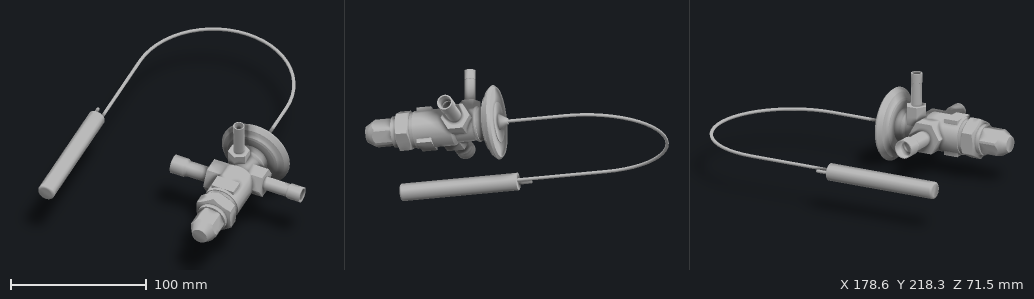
import cadquery as cq
import math


hex_ratio = math.cos(math.radians(30))

joint_overlap = 1.0

neck_dia = 25.0
ring_dia = 26.4
upper_body_dia = 24.0
lower_body_dia = 28.0
relief_dia = 26.4
collar_dia = 23.0
head_bottom_y = 24.0
ring_top_y = 18.2
ring_bottom_y = 16.8
ring_taper_y = 15.2
shoulder_top_y = 1.3
shoulder_bottom_y = -1.0
body_bottom_y = -30.0
nut_top_y = -32.5
nut_bottom_y = -43.8
collar_bottom_y = -47.0

head_dia = 55.0
head_top_y = 33.2
head_raised_dia = 30.0
rim_top_dia = 52.0
rim_top_y = 32.7
rim_upper_y = 31.0
rim_lower_y = 30.4
rim_back_dia = 53.4
rim_back_y = 29.5
head_step_dia = 49.2
head_step_y = 27.2
cone_mid_dia = 44.0
cone_mid_y = 26.1
cone_end_dia = 40.4
cone_end_y = 24.5
head_flat_dia = 37.0
boss_base_dia = 12.0
boss_shoulder_dia = 6.8
boss_tip_dia = 4.6
boss_shoulder_y = 37.4
boss_tip_y = 39.8

nut_flats = 27.3
nut_turn = -2.0
nut_face_dia = 23.6
nut_chamfer_angle = 22.0
cap_dia = 21.0
cap_flats = 19.0
cap_turn = 8.5
cap_tip_dia = 12.0
cap_cone_y = -60.0
cap_tip_y = -67.4

pad_width = 18.0
pad_top_y = -16.4
pad_bottom_y = -27.5

hex_reach = 20.0
port_reach = 50.0
inlet_y = -5.2
inlet_flats = 22.5
inlet_tube_dia = 11.6
inlet_tube_bore = 10.0
inlet_socket_dia = 14.0
inlet_socket_bore = 12.7
inlet_socket_length = 10.2
inlet_taper = 2.4
outlet_y = 4.7
outlet_flats = 19.0
outlet_tube_dia = 10.0
outlet_tube_bore = 8.0
outlet_socket_dia = 11.6
outlet_socket_bore = 9.6
outlet_socket_length = 10.0
outlet_taper = 1.2

equalizer_x = -4.0
equalizer_y = 9.8
equalizer_flats = 14.0
equalizer_hex_z = 19.0
equalizer_reach = 44.0
equalizer_tube_dia = 8.0
equalizer_tube_bore = 6.4
equalizer_socket_dia = 8.4
equalizer_socket_bore = 6.8
equalizer_socket_length = 7.3
equalizer_taper = 0.2

capillary_dia = 2.5
bulb_dia = 13.0
bulb_outer_x = -128.55
bulb_x = bulb_outer_x + bulb_dia / 2
bulb_end_radius = 1.8
bulb_top_y = 15.3
bulb_bottom_y = -73.88
stem_offset = 3.1
stub_top_y = 25.3
stub_tip_radius = 1.1
capillary_bulb_x = bulb_x + stem_offset
loop_radius = -capillary_bulb_x / 2
overall_length = 218.28
loop_top_y = bulb_bottom_y + overall_length
loop_start_y = loop_top_y - capillary_dia / 2 - loop_radius


def y_cylinder(diameter, y_start, y_end, x):
    """Cylinder along Y between two stations, centred at the given X."""
    plane = cq.Plane((x, y_start, 0), xDir=(1, 0, 0), normal=(0, 1, 0))
    return cq.Workplane(plane).circle(diameter / 2).extrude(y_end - y_start)


def turned(profile):
    """Solid turned about Y from (radius, y) points that start and end on the axis."""
    return cq.Workplane("XY").polyline(profile).close().revolve(360, (0, 0, 0), (0, 1, 0))


def hex_prism(plane, flats, length):
    """Hexagonal prism with two corners on the local X axis of the plane."""
    corner_dia = flats / hex_ratio
    return cq.Workplane(plane).polygon(6, corner_dia).extrude(length)


def make_body():
    """Turned neck, ring, stepped body, relief and collar."""
    return turned([
        (0, head_bottom_y + joint_overlap),
        (neck_dia / 2, head_bottom_y + joint_overlap),
        (neck_dia / 2, ring_top_y),
        (ring_dia / 2, ring_top_y),
        (ring_dia / 2, ring_bottom_y),
        (upper_body_dia / 2, ring_taper_y),
        (upper_body_dia / 2, shoulder_top_y),
        (lower_body_dia / 2, shoulder_bottom_y),
        (lower_body_dia / 2, body_bottom_y),
        (relief_dia / 2, body_bottom_y),
        (relief_dia / 2, nut_top_y),
        (collar_dia / 2, nut_top_y),
        (collar_dia / 2, collar_bottom_y),
        (0, collar_bottom_y),
    ])


def make_head():
    """Diaphragm capsule: stepped rim, then a slightly dished cone down to a flat underside."""
    profile = (
        cq.Workplane("XY")
        .moveTo(0, boss_tip_y)
        .lineTo(boss_tip_dia / 2, boss_tip_y)
        .lineTo(boss_shoulder_dia / 2, boss_shoulder_y)
        .lineTo(boss_base_dia / 2, head_top_y)
        .lineTo(head_raised_dia / 2, head_top_y)
        .lineTo(head_raised_dia / 2, rim_top_y)
        .lineTo(rim_top_dia / 2, rim_top_y)
        .lineTo(head_dia / 2, rim_upper_y)
        .lineTo(head_dia / 2, rim_lower_y)
        .lineTo(rim_back_dia / 2, rim_back_y)
        .lineTo(head_step_dia / 2, head_step_y)
        .threePointArc((cone_mid_dia / 2, cone_mid_y), (cone_end_dia / 2, cone_end_y))
        .lineTo(head_flat_dia / 2, head_bottom_y)
        .lineTo(0, head_bottom_y)
        .close()
    )
    return profile.revolve(360, (0, 0, 0), (0, 1, 0))


def make_nut():
    """Hexagon nut chamfered at both ends."""
    plane = cq.Plane((0, nut_bottom_y, 0), xDir=(0, 0, 1), normal=(0, 1, 0))
    prism = hex_prism(plane, nut_flats, nut_top_y - nut_bottom_y)
    face_radius = nut_face_dia / 2
    corner_radius = nut_flats / 2 / hex_ratio
    drop = (corner_radius - face_radius) * math.tan(math.radians(nut_chamfer_angle))
    envelope = turned([
        (0, nut_top_y),
        (face_radius, nut_top_y),
        (corner_radius, nut_top_y - drop),
        (corner_radius, nut_bottom_y + drop),
        (face_radius, nut_bottom_y),
        (0, nut_bottom_y),
    ])
    return envelope.intersect(prism.rotate((0, 0, 0), (0, 1, 0), nut_turn))


def make_cap():
    """Sealing cap: round with six flats and a conical tip."""
    envelope = turned([
        (0, collar_bottom_y),
        (cap_dia / 2, collar_bottom_y),
        (cap_dia / 2, cap_cone_y),
        (cap_tip_dia / 2, cap_tip_y),
        (0, cap_tip_y),
    ])
    plane = cq.Plane((0, cap_tip_y, 0), xDir=(1, 0, 0), normal=(0, 1, 0))
    prism = hex_prism(plane, cap_flats, collar_bottom_y - cap_tip_y)
    return envelope.intersect(prism.rotate((0, 0, 0), (0, 1, 0), cap_turn))


def make_pads():
    """Block through the body that leaves a flat label pad on its +Z and -Z sides."""
    block = cq.Workplane("XY").box(pad_width, pad_top_y - pad_bottom_y, lower_body_dia)
    return block.translate((0, (pad_top_y + pad_bottom_y) / 2, 0))


def stepped_round(plane, stations):
    """Solid turned about the local Y axis of a plane through (diameter, distance) stations."""
    outline = [(0, stations[0][1])]
    outline += [(diameter / 2, distance) for diameter, distance in stations]
    outline += [(0, stations[-1][1])]
    return cq.Workplane(plane).polyline(outline).close().revolve(360, (0, 0, 0), (0, 1, 0))


def tube(plane, reach, tube_dia, socket_dia, socket_length, taper):
    """Outside of a solder tube with a widened socket at its far end."""
    socket_start = reach - socket_length
    return stepped_round(plane, [
        (tube_dia, 0),
        (tube_dia, socket_start - taper),
        (socket_dia, socket_start),
        (socket_dia, reach),
    ])


inlet_plane = cq.Plane((0, inlet_y, 0), xDir=(0, 1, 0), normal=(0, 0, 1))
outlet_plane = cq.Plane((0, outlet_y, 0), xDir=(0, -1, 0), normal=(0, 0, 1))
equalizer_plane = cq.Plane((equalizer_x, equalizer_y, 0), xDir=(1, 0, 0), normal=(0, -1, 0))


def make_connections():
    """Hexagons and outer tubes of the three connections."""
    inlet_hex = hex_prism(
        cq.Plane((0, inlet_y, 0), xDir=(0, 1, 0), normal=(-1, 0, 0)), inlet_flats, hex_reach)
    outlet_hex = hex_prism(
        cq.Plane((0, outlet_y, 0), xDir=(0, 1, 0), normal=(1, 0, 0)), outlet_flats, hex_reach)
    equalizer_hex = hex_prism(
        cq.Plane((equalizer_x, equalizer_y, 0), xDir=(0, 1, 0), normal=(0, 0, 1)),
        equalizer_flats, equalizer_hex_z)
    inlet_tube = tube(inlet_plane, port_reach, inlet_tube_dia,
                      inlet_socket_dia, inlet_socket_length, inlet_taper)
    outlet_tube = tube(outlet_plane, port_reach, outlet_tube_dia,
                       outlet_socket_dia, outlet_socket_length, outlet_taper)
    equalizer_tube = tube(equalizer_plane, equalizer_reach, equalizer_tube_dia,
                          equalizer_socket_dia, equalizer_socket_length, equalizer_taper)
    hexes = inlet_hex.union(outlet_hex).union(equalizer_hex)
    return hexes.union(inlet_tube).union(outlet_tube).union(equalizer_tube)


def port_bore(plane, start, reach, bore, socket_bore, socket_length):
    """Stepped bore of a connection, from the hexagon face to the open end."""
    socket_start = reach - socket_length
    return stepped_round(plane, [
        (bore, start),
        (bore, socket_start),
        (socket_bore, socket_start),
        (socket_bore, reach),
    ])


def make_bores():
    """Bores of the three connections."""
    inlet = port_bore(inlet_plane, hex_reach, port_reach, inlet_tube_bore,
                      inlet_socket_bore, inlet_socket_length)
    outlet = port_bore(outlet_plane, hex_reach, port_reach, outlet_tube_bore,
                       outlet_socket_bore, outlet_socket_length)
    equalizer = port_bore(equalizer_plane, equalizer_hex_z, equalizer_reach, equalizer_tube_bore,
                          equalizer_socket_bore, equalizer_socket_length)
    return inlet.union(outlet).union(equalizer)


def make_bulb():
    """Sensing bulb with its short sealed filling stub."""
    bulb = y_cylinder(bulb_dia, bulb_bottom_y, bulb_top_y, bulb_x)
    bulb = bulb.faces("<Y").edges().fillet(bulb_end_radius)
    stub = y_cylinder(capillary_dia, bulb_top_y, stub_top_y, bulb_x - stem_offset)
    stub = stub.faces(">Y").edges().fillet(stub_tip_radius)
    return bulb.union(stub)


def make_capillary():
    """Tube from the head over a half-circle loop and down to the bulb."""
    path = (
        cq.Workplane("XY")
        .moveTo(0, head_top_y)
        .lineTo(0, loop_start_y)
        .threePointArc((-loop_radius, loop_start_y + loop_radius), (capillary_bulb_x, loop_start_y))
        .lineTo(capillary_bulb_x, bulb_top_y - joint_overlap)
    )
    start = cq.Plane((0, head_top_y, 0), xDir=(1, 0, 0), normal=(0, 1, 0))
    return cq.Workplane(start).circle(capillary_dia / 2).sweep(path)


valve = make_body().union(make_head()).union(make_nut()).union(make_cap()).union(make_pads())
valve = valve.union(make_connections()).cut(make_bores())
result = valve.union(make_capillary()).union(make_bulb())